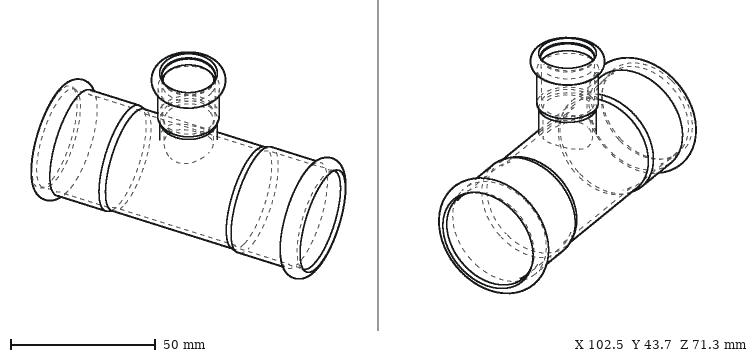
import cadquery as cq


run_length = 102.5
run_bead_diameter = 43.7
run_bead_width = 7.3
run_socket_diameter = 38.4
run_body_diameter = 37.0
run_bore = 34.0
run_socket_bore = 35.4
run_lip_bore = 35.8
run_mouth_diameter = 37.0
run_step_start = 26.0
run_step_end = 28.2
run_lip_depth = 1.5
run_seal_start = 2.4
run_seal_end = 5.4
run_seat_end = 6.5
run_seal_bore = 35.4

overall_height = 71.3
branch_height = overall_height - run_bead_diameter / 2
branch_bead_diameter = 25.7
branch_bead_width = 6.4
branch_socket_diameter = 21.3
branch_body_diameter = 20.0
branch_bore = 17.0
branch_socket_bore = 18.3
branch_lip_bore = 18.7
branch_mouth_diameter = 20.0
branch_step_start = 20.1
branch_step_end = 21.9
branch_lip_depth = 1.3
branch_seal_start = 1.8
branch_seal_end = 4.6
branch_seat_end = 5.3
branch_seal_bore = 17.6

joint_fillet = 0.8


def socket_outside(length, bead_diameter, bead_width, socket_diameter, body_diameter,
                   mouth_diameter, step_start, step_end):
    """Solid of one arm along +Z, from its inner end at the origin to its mouth at z = length."""
    crest = (bead_diameter / 2, length - bead_width / 2)
    return (
        cq.Workplane("XZ")
        .lineTo(body_diameter / 2, 0)
        .lineTo(body_diameter / 2, length - step_end)
        .lineTo(socket_diameter / 2, length - step_start)
        .lineTo(socket_diameter / 2, length - bead_width)
        .threePointArc(crest, (mouth_diameter / 2, length))
        .lineTo(0, length)
        .close()
        .revolve(360, (0, 0), (0, 1))
    )


def socket_inside(length, bead_width, socket_bore, bore, lip_bore,
                  mouth_diameter, step_start, step_end, lip_depth, seal_start, seal_end,
                  seat_end, seal_bore):
    """Hollow of one arm, with a tapered lip and a bulging seal ring filling the bead."""
    seal_crest = (seal_bore / 2, length - (seal_start + seal_end) / 2)
    return (
        cq.Workplane("XZ")
        .lineTo(bore / 2, 0)
        .lineTo(bore / 2, length - step_end)
        .lineTo(socket_bore / 2, length - step_start)
        .lineTo(socket_bore / 2, length - bead_width)
        .lineTo(lip_bore / 2, length - seat_end)
        .lineTo(lip_bore / 2, length - seal_end)
        .threePointArc(seal_crest, (lip_bore / 2, length - seal_start))
        .lineTo(lip_bore / 2, length - lip_depth)
        .lineTo(mouth_diameter / 2, length)
        .lineTo(0, length)
        .close()
        .revolve(360, (0, 0), (0, 1))
    )


def both_run_arms(arm):
    """Lay an arm along +X and mirror it to -X."""
    along_x = arm.rotate((0, 0, 0), (0, 1, 0), 90)
    return along_x.union(along_x.mirror("YZ"))


run_outside = both_run_arms(socket_outside(
    run_length / 2, run_bead_diameter, run_bead_width, run_socket_diameter, run_body_diameter,
    run_mouth_diameter, run_step_start, run_step_end)).clean()
run_inside = both_run_arms(socket_inside(
    run_length / 2, run_bead_width, run_socket_bore, run_bore, run_lip_bore,
    run_mouth_diameter, run_step_start, run_step_end, run_lip_depth, run_seal_start, run_seal_end,
    run_seat_end, run_seal_bore))

branch_outside = socket_outside(
    branch_height, branch_bead_diameter, branch_bead_width, branch_socket_diameter, branch_body_diameter,
    branch_mouth_diameter, branch_step_start, branch_step_end)
branch_inside = socket_inside(
    branch_height, branch_bead_width, branch_socket_bore, branch_bore, branch_lip_bore,
    branch_mouth_diameter, branch_step_start, branch_step_end, branch_lip_depth,
    branch_seal_start, branch_seal_end, branch_seat_end, branch_seal_bore)

joint_zone = cq.selectors.BoxSelector(
    (-branch_body_diameter, -branch_body_diameter, run_body_diameter / 4),
    (branch_body_diameter, branch_body_diameter, run_socket_diameter / 2),
    boundingbox=True,
)
outside = run_outside.union(branch_outside).edges(joint_zone).fillet(joint_fillet)

result = outside.cut(run_inside).cut(branch_inside)